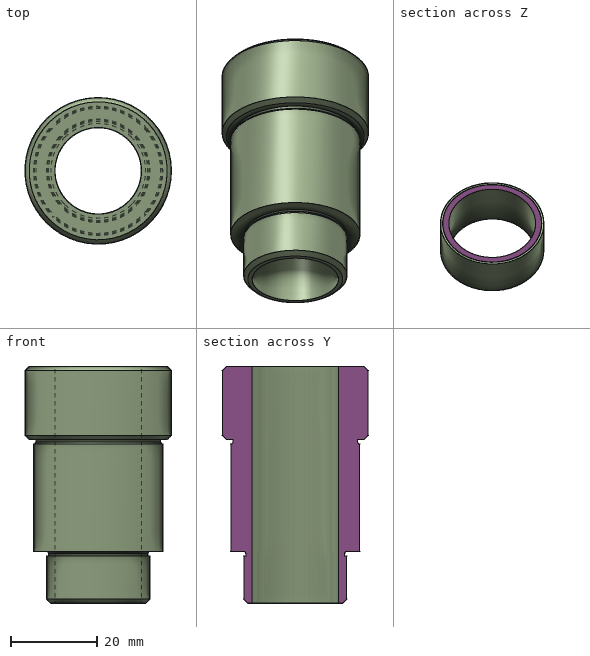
import cadquery as cq

bore_diameter = 20.0

spigot_diameter = 24.0
spigot_length = 12.0

body_diameter = 30.0
body_length = 26.0

head_diameter = 34.0
head_length = 17.0

edge_chamfer = 1.0

undercut_width = 1.0
undercut_depth = 0.5
taper_length = 0.38
taper_rise = 0.27

bore_radius = bore_diameter / 2
spigot_radius = spigot_diameter / 2
body_radius = body_diameter / 2
head_radius = head_diameter / 2

spigot_neck_radius = spigot_radius - undercut_depth
body_neck_radius = body_radius - undercut_depth

body_base = spigot_length
head_base = body_base + body_length
total_length = head_base + head_length


def spigot_outline():
    """Lower step, chamfered at its free end; its undercut widens upward to the body shoulder."""
    undercut_base = body_base - undercut_width
    return [
        (spigot_radius - edge_chamfer, 0),
        (spigot_radius, edge_chamfer),
        (spigot_radius, undercut_base),
        (spigot_neck_radius, undercut_base),
        (spigot_neck_radius, body_base - taper_length),
        (spigot_neck_radius + taper_rise, body_base),
    ]


def body_outline():
    """Middle step; its undercut narrows upward and runs straight into the head."""
    undercut_base = head_base - undercut_width
    return [
        (body_radius, body_base),
        (body_radius, undercut_base),
        (body_neck_radius + taper_rise, undercut_base),
        (body_neck_radius, undercut_base + taper_length),
        (body_neck_radius, head_base),
    ]


def head_outline():
    """Upper collar, chamfered at both ends."""
    return [
        (head_radius - edge_chamfer, head_base),
        (head_radius, head_base + edge_chamfer),
        (head_radius, total_length - edge_chamfer),
        (head_radius - edge_chamfer, total_length),
    ]


def make_bushing():
    """Revolve the wall section, from bore to outside, about the Z axis."""
    outside = spigot_outline() + body_outline() + head_outline()
    section = [(bore_radius, 0)] + outside + [(bore_radius, total_length)]
    return cq.Workplane("XZ").polyline(section).close().revolve(360, (0, 0), (0, 1))


result = make_bushing()